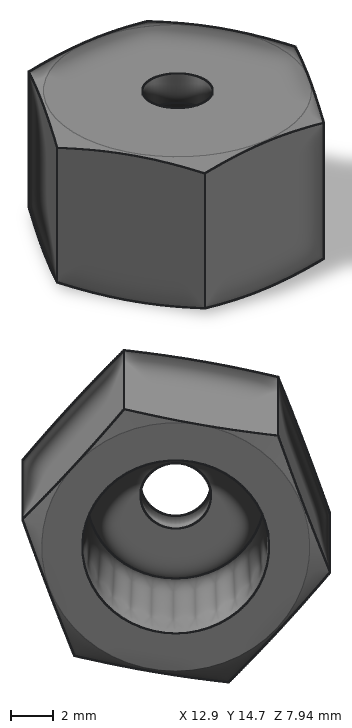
import cadquery as cq
import math

across_flats = 12.7
height = 7.9375
hex_offset_y = -0.077
rotation = 2.0

chamfer_circle_diameter = 12.55
chamfer_angle = 17.0
blank_margin = 1.0

bore_diameter = 3.3
bore_depth = 1.5875
cavity_top_diameter = 8.35
taper_half_angle = 1.79

across_corners = across_flats / math.cos(math.radians(30))
chamfer_circle_radius = chamfer_circle_diameter / 2
blank_radius = across_corners / 2 + blank_margin
cavity_depth = height - bore_depth
cavity_top_radius = cavity_top_diameter / 2
cavity_mouth_radius = cavity_top_radius + cavity_depth * math.tan(math.radians(taper_half_angle))


def turned(profile):
    """Solid of revolution about Z from a closed (radius, z) profile."""
    return cq.Workplane("XZ").polyline(profile).close().revolve(360, (0, 0), (0, 1))


def hex_prism():
    """Hexagon with two corners along Y, extruded to the full height."""
    prism = cq.Workplane("XY").polygon(6, across_corners).extrude(height)
    return prism.rotate((0, 0, 0), (0, 0, 1), 90).translate((0, hex_offset_y, 0))


def chamfered_blank():
    """Round blank, wider than the hexagon, with a conical chamfer at each end."""
    drop = (blank_radius - chamfer_circle_radius) * math.tan(math.radians(chamfer_angle))
    return turned([
        (0, 0),
        (chamfer_circle_radius, 0),
        (blank_radius, drop),
        (blank_radius, height - drop),
        (chamfer_circle_radius, height),
        (0, height),
    ])


def bore():
    return cq.Workplane("XY").circle(bore_diameter / 2).extrude(height)


def tapered_cavity():
    return turned([
        (0, 0),
        (cavity_mouth_radius, 0),
        (cavity_top_radius, cavity_depth),
        (0, cavity_depth),
    ])


body = hex_prism().intersect(chamfered_blank())
nut = body.cut(tapered_cavity()).cut(bore())
result = nut.rotate((0, 0, 0), (0, 0, 1), rotation)